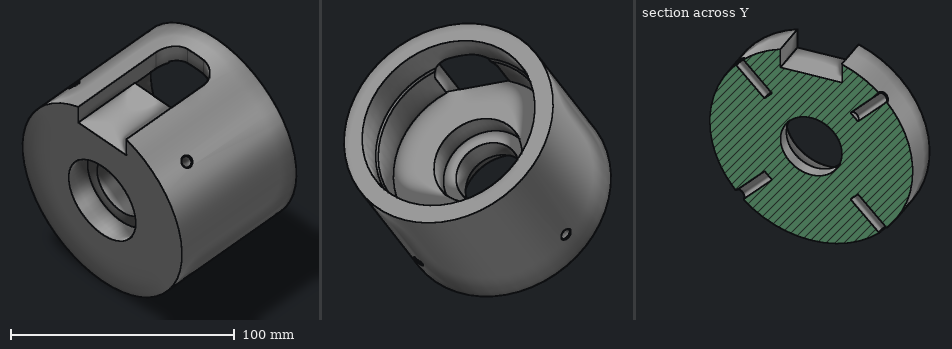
import cadquery as cq

outer_radius = 50.0
length = 73.0
hub_length = 36.0

bore_radius = 15.0
counterbore_radius = 21.0
counterbore_depth = 12.0

cavity_radius = 40.4
rear_radius = 41.3
flare_start = 55.1
flare_end = 56.0

window_width = 30.0
window_end = 59.3
window_corner_radius = 10.0
window_floor = 38.0
window_wall_bottom = 30.0

hole_diameter = 5.0
hole_chamfer = 0.5
hole_depth = 20.0
hole_position = 18.0
hole_angles = (45, 135, 225, 315)


def cylinder(radius, start, end):
    """Cylinder on the Y axis between two positions."""
    axis = cq.Vector(0, 1, 0)
    return cq.Workplane(cq.Solid.makeCylinder(radius, end - start, cq.Vector(0, start, 0), axis))


def cavity():
    """Revolved space behind the hub."""
    return (
        cq.Workplane("XY")
        .moveTo(0, hub_length)
        .lineTo(cavity_radius, hub_length)
        .lineTo(cavity_radius, flare_start)
        .lineTo(rear_radius, flare_end)
        .lineTo(rear_radius, length)
        .lineTo(0, length)
        .close()
        .revolve(360, (0, 0, 0), (0, 1, 0))
    )


def window():
    """Round-cornered slot: flat floor over the hub, right through the cavity wall."""
    outline = (
        cq.Workplane("XY")
        .box(window_width, window_end, outer_radius - window_wall_bottom, centered=(True, False, False))
        .translate((0, 0, window_wall_bottom))
        .edges("|Z and >Y")
        .fillet(window_corner_radius)
    )
    hub_below_floor = (
        cq.Workplane("XY")
        .box(window_width, hub_length, window_floor, centered=(True, False, False))
    )
    return outline.cut(hub_below_floor)


def screw_hole(angle):
    """Radial hole, blind, chamfered at its mouth."""
    radius = hole_diameter / 2
    mouth_depth = outer_radius - hole_chamfer
    up = cq.Vector(0, 0, 1)
    drill = cq.Solid.makeCylinder(radius, hole_depth, cq.Vector(0, 0, outer_radius - hole_depth), up)
    mouth = cq.Solid.makeCone(
        radius, radius + hole_chamfer, hole_chamfer, cq.Vector(0, 0, mouth_depth), up
    )
    hole = cq.Workplane(drill).union(cq.Workplane(mouth))
    return hole.rotate((0, 0, 0), (0, 1, 0), angle).translate((0, hole_position, 0))


result = cylinder(outer_radius, 0, length)
result = result.cut(cylinder(bore_radius, 0, length))
result = result.cut(cylinder(counterbore_radius, 0, counterbore_depth))
result = result.cut(cylinder(counterbore_radius, hub_length - counterbore_depth, hub_length))
result = result.cut(cavity())
result = result.cut(window())
for hole_angle in hole_angles:
    result = result.cut(screw_hole(hole_angle))